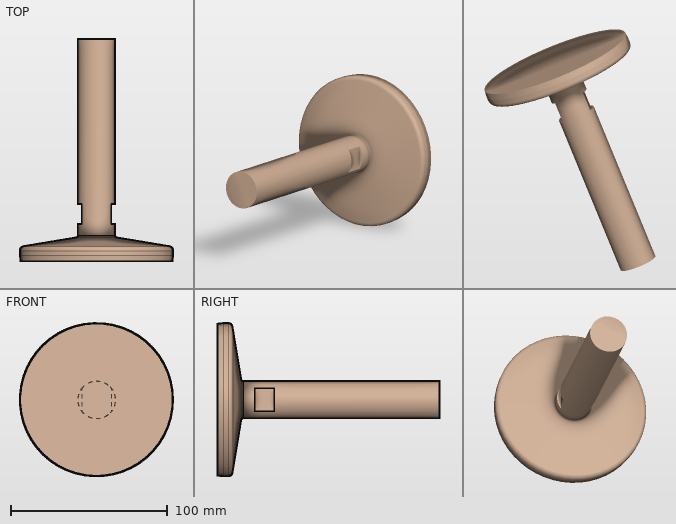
import cadquery as cq
import math

total_length = 142.0
stem_radius = 24.0 / 2
pad_radius = 98.0 / 2
sole_y = -total_length / 2

taper_height = 4.0
rim_height = 7.0
stem_start_height = 16.5

sole_radius = 48.5
rim_round = 2.8
cone_slope = math.radians(9.4)
neck_radius = 11.9
neck_round = 1.1

flats_width = 19.0
flats_length = 12.5
flats_start_height = 24.0


def rounded_rim_point(angle):
    """Point on the rim round, with the angle measured from the radial direction."""
    return (
        pad_radius - rim_round + rim_round * math.cos(angle),
        sole_y + rim_height + rim_round * math.sin(angle),
    )


def neck_point(angle):
    """Point on the concave neck round, with the angle measured from the inward direction."""
    return (
        neck_radius + neck_round - neck_round * math.cos(angle),
        sole_y + stem_start_height - neck_round * math.sin(angle),
    )


def make_pad():
    """Revolved pad: drafted edge, rounded rim, shallow cone and concave neck."""
    cone_tangent_angle = math.pi / 2 - cone_slope
    return (
        cq.Workplane("XY")
        .moveTo(0, sole_y)
        .lineTo(sole_radius, sole_y)
        .lineTo(pad_radius, sole_y + taper_height)
        .lineTo(pad_radius, sole_y + rim_height)
        .threePointArc(rounded_rim_point(cone_tangent_angle / 2), rounded_rim_point(cone_tangent_angle))
        .lineTo(*neck_point(cone_tangent_angle))
        .threePointArc(neck_point(cone_tangent_angle / 2), neck_point(0))
        .lineTo(0, sole_y + stem_start_height)
        .close()
        .revolve(360, (0, 0, 0), (0, 1, 0))
    )


def make_stem():
    """Plain round stem with two opposite wrench flats."""
    stem_length = total_length - stem_start_height
    stem = (
        cq.Workplane("XZ", origin=(0, sole_y + stem_start_height, 0))
        .circle(stem_radius)
        .extrude(-stem_length)
    )
    cutter_size = 2 * stem_radius
    flats_middle_y = sole_y + flats_start_height + flats_length / 2
    for side in (-1, 1):
        cutter_x = side * (flats_width + cutter_size) / 2
        cutter = cq.Workplane("XY").box(cutter_size, flats_length, cutter_size)
        stem = stem.cut(cutter.translate((cutter_x, flats_middle_y, 0)))
    return stem


result = make_pad().union(make_stem())